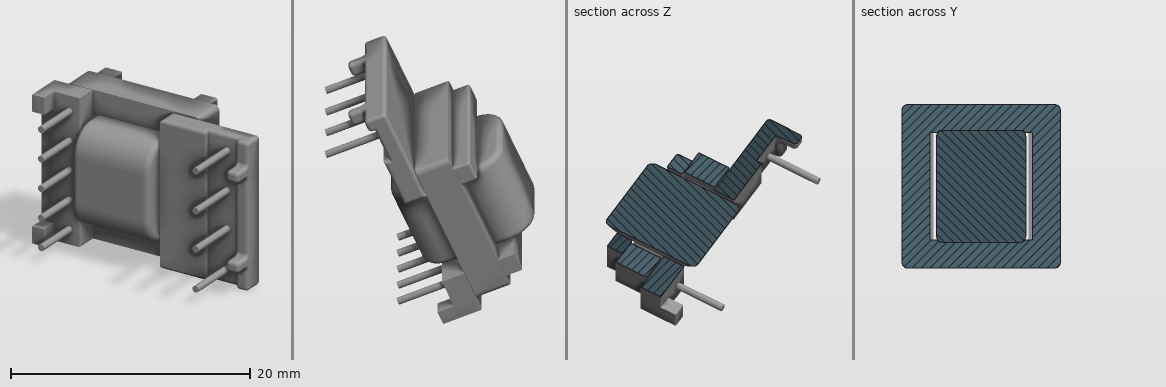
import cadquery as cq


OVERALL_LENGTH = 20.45
OVERALL_DEPTH = 13.09

CORE_LENGTH = 13.3
CORE_DEPTH = 3.0
CORE_HEIGHT = 13.72
CORE_WALL = 2.37
CORE_CORNER_RADIUS = 0.51

COIL_LENGTH = 7.5
COIL_DEPTH = 10.16
COIL_HEIGHT = 9.33
COIL_CORNER_RADIUS = 2.5
COIL_END_RADIUS = 0.51

INNER_FACE_X = 3.99
BASE_GAP = 0.1
BASE_BACK_Y = -CORE_DEPTH / 2 - BASE_GAP
BASE_THICKNESS = 1.98
BASE_FRONT_Y = BASE_BACK_Y - BASE_THICKNESS
FOOT_TIP_Y = -COIL_DEPTH / 2
RIM_WIDTH = 1.2

BAR_LENGTH = 1.62
BAR_DEPTH = 1.5
BAR_HEIGHT = 13.52
BAR_EDGE_RADIUS = 0.2

LEFT_END_X = -7.75
FOOT_HEIGHT = 1.57

RIGHT_END_X = LEFT_END_X + OVERALL_LENGTH
SLAB_LENGTH = 4.45
RECESS_DEPTH = 0.51
TAB_HEIGHT = 1.0
TAB_Z = 4.15
EDGE_RADIUS = 0.33

PIN_DIAMETER = 0.61
PIN_TIP_Y = COIL_DEPTH / 2 - OVERALL_DEPTH
OUTER_PIN_Z = 5.44
LEFT_PIN_X = -5.0
LEFT_PIN_COUNT = 5
LEFT_PIN_PITCH = 2 * OUTER_PIN_Z / (LEFT_PIN_COUNT - 1)
LEFT_PIN_ZS = [i * LEFT_PIN_PITCH - OUTER_PIN_Z for i in range(LEFT_PIN_COUNT)]
RIGHT_PIN_X = 10.35
INNER_PIN_Z = 1.75
RIGHT_PIN_ZS = [-OUTER_PIN_Z, -INNER_PIN_Z, INNER_PIN_Z, OUTER_PIN_Z]


def block(x_range, y_range, height, z_centre=0.0):
    """Box between two X values and two Y values, centred on z_centre."""
    x_min, x_max = x_range
    y_min, y_max = y_range
    centre = ((x_min + x_max) / 2, (y_min + y_max) / 2, z_centre)
    return cq.Workplane("XY").box(x_max - x_min, y_max - y_min, height).translate(centre)


def make_pins(x, z_positions, root_y):
    """Round pins from root_y to the common pin tip plane."""
    points = [(x, z) for z in z_positions]
    plane = cq.Workplane("XZ", origin=(0, root_y, 0))
    return plane.pushPoints(points).circle(PIN_DIAMETER / 2).extrude(root_y - PIN_TIP_Y)


def make_coil():
    coil = cq.Workplane("XY").box(COIL_LENGTH, COIL_DEPTH, COIL_HEIGHT)
    coil = coil.edges("|X").fillet(COIL_CORNER_RADIUS)
    return coil.faces("<X or >X").edges().fillet(COIL_END_RADIUS)


def make_core(coil):
    """Frame whose window walls are recessed where the coil is taller than the window."""
    frame = cq.Workplane("XY").box(CORE_LENGTH, CORE_DEPTH, CORE_HEIGHT)
    frame = frame.edges("|Y").fillet(CORE_CORNER_RADIUS)
    window_length = CORE_LENGTH - 2 * CORE_WALL
    window_height = CORE_HEIGHT - 2 * CORE_WALL
    window = cq.Workplane("XY").box(window_length, CORE_DEPTH, window_height)
    return frame.cut(window).cut(coil)


def make_left_bar():
    y_range = (CORE_DEPTH / 2, CORE_DEPTH / 2 + BAR_DEPTH)
    return block((-INNER_FACE_X - BAR_LENGTH, -INNER_FACE_X), y_range, BAR_HEIGHT)


def make_right_bar():
    """Bar with rounded edges between its outer, back, top and bottom faces."""
    y_range = (CORE_DEPTH / 2, CORE_DEPTH / 2 + BAR_DEPTH)
    bar = block((INNER_FACE_X, INNER_FACE_X + BAR_LENGTH), y_range, BAR_HEIGHT)
    rounded = "(>Y and (>X or <Z or >Z)) or (>X and (<Z or >Z))"
    return bar.edges(rounded).fillet(BAR_EDGE_RADIUS)


def make_left_base():
    """Plain slab with a foot at each end of its outer side and five pins."""
    base = block((LEFT_END_X, -INNER_FACE_X), (BASE_FRONT_Y, BASE_BACK_Y), CORE_HEIGHT)
    foot_z = (CORE_HEIGHT - FOOT_HEIGHT) / 2
    for z in (-foot_z, foot_z):
        foot = block((LEFT_END_X, LEFT_END_X + RIM_WIDTH), (FOOT_TIP_Y, BASE_BACK_Y), FOOT_HEIGHT, z)
        base = base.union(foot)
    return base.union(make_pins(LEFT_PIN_X, LEFT_PIN_ZS, BASE_FRONT_Y))


def make_right_base():
    """Stepped slab with a rounded rim, two tabs on the rim and four pins."""
    rim_x = RIGHT_END_X - RIM_WIDTH
    floor_y = BASE_FRONT_Y + RECESS_DEPTH
    base = block((INNER_FACE_X, RIGHT_END_X), (BASE_FRONT_Y, BASE_BACK_Y), CORE_HEIGHT)
    base = base.cut(block((INNER_FACE_X + SLAB_LENGTH, rim_x), (BASE_FRONT_Y, floor_y), CORE_HEIGHT))
    for z in (-TAB_Z, TAB_Z):
        base = base.union(block((rim_x, RIGHT_END_X), (FOOT_TIP_Y, BASE_BACK_Y), TAB_HEIGHT, z))

    before_rim = cq.selectors.BoxSelector(
        (INNER_FACE_X - EDGE_RADIUS, BASE_FRONT_Y - EDGE_RADIUS, -EDGE_RADIUS),
        (rim_x - EDGE_RADIUS, BASE_BACK_Y + EDGE_RADIUS, EDGE_RADIUS),
    )
    floor_corner = cq.selectors.NearestToPointSelector((rim_x, floor_y, 0))
    rounded = cq.selectors.InverseSelector(before_rim + floor_corner)
    base = base.edges(rounded).fillet(EDGE_RADIUS)
    return base.union(make_pins(RIGHT_PIN_X, RIGHT_PIN_ZS, floor_y))


coil = make_coil()
core = make_core(coil)
left_bar = make_left_bar()
right_bar = make_right_bar()
left_base = make_left_base()
right_base = make_right_base()

bodies = [core, coil, left_bar, right_bar, left_base, right_base]
result = cq.Compound.makeCompound([body.val() for body in bodies])